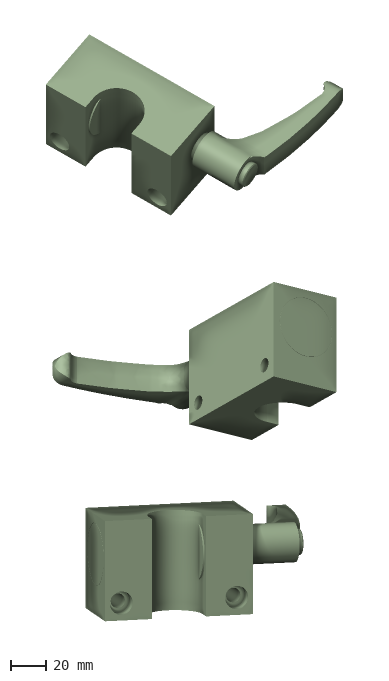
import cadquery as cq
import math

BLOCK_LENGTH = 87.2
BLOCK_DEPTH = 43.0
BLOCK_HEIGHT = 58.0
BORE_RADIUS = 16.0
BORE_Y = 8.1

PAD_DIAMETER = 36.0
PAD_GAP = 0.3
PAD_Y = 20.9
PAD_Z = 35.2
PAD_SPAN = 30.1

HOLE_DIAMETER = 8.4
COUNTERBORE_DIAMETER = 13.5
COUNTERBORE_DEPTH = 7.7
HOLE_SPACING = 68.0
HOLE_Z = 10.1

AXIS_Y = 28.5
AXIS_Z = PAD_Z
NECK_DIAMETER = 17.7
COLLAR_DIAMETER = 18.5
COLLAR_START = BLOCK_LENGTH + 0.7
BARREL_DIAMETER = 23.0
BARREL_RADIUS = BARREL_DIAMETER / 2
BARREL_START = 90.3
BARREL_END = 119.3
END_BOSS_DIAMETER = 15.0
END_BOSS_END = 122.8
END_BOSS_CHAMFER = 0.5

ARM_TIP_X = 133.2
ARM_TIP_Y = 107.3
ARM_WIDTH = 16.5
ARM_HALF = ARM_WIDTH / 2
ROOT_FILLET = 14.6
CROWN_HALF = 10.7
LEDGE_DROP = 0.3


def clamp_block():
    """Rectangular block with an open bore, two flat pads and two screw holes."""
    mid_x = BLOCK_LENGTH / 2
    body = cq.Workplane("XY").box(BLOCK_LENGTH, BLOCK_DEPTH, BLOCK_HEIGHT, centered=False)
    bore = cq.Workplane("XY").center(mid_x, BORE_Y).circle(BORE_RADIUS).extrude(BLOCK_HEIGHT)
    mouth = cq.Workplane("XY").box(2 * BORE_RADIUS, BORE_Y, BLOCK_HEIGHT, centered=False)
    body = body.cut(bore).cut(mouth.translate((mid_x - BORE_RADIUS, 0, 0)))

    pad_length = (BLOCK_LENGTH - PAD_SPAN) / 2
    for start in (0, BLOCK_LENGTH - pad_length):
        pad = cq.Workplane("YZ", origin=(start, PAD_Y, PAD_Z)).circle(PAD_DIAMETER / 2)
        body = body.union(pad.extrude(pad_length))

    groove = (
        cq.Workplane("YZ", origin=(0, PAD_Y, PAD_Z))
        .circle(PAD_DIAMETER / 2)
        .circle(PAD_DIAMETER / 2 - PAD_GAP)
        .extrude(PAD_GAP)
    )
    body = body.cut(groove)

    for side in (-1, 1):
        front = cq.Workplane("XZ", origin=(mid_x + side * HOLE_SPACING / 2, 0, HOLE_Z))
        body = body.cut(front.circle(HOLE_DIAMETER / 2).extrude(-BLOCK_DEPTH))
        body = body.cut(front.circle(COUNTERBORE_DIAMETER / 2).extrude(-COUNTERBORE_DEPTH))
    return body


def lever_cylinder(diameter, start, end):
    """Cylinder on the lever axis between two X positions."""
    plane = cq.Workplane("YZ", origin=(start, AXIS_Y, AXIS_Z))
    return plane.circle(diameter / 2).extrude(end - start)


def arm_outline(z, root, inner_curve):
    """Closed XY outline of the arm at height z; inner_curve runs from root to the hook."""
    return (
        cq.Workplane("XY", origin=(0, 0, AXIS_Z + z))
        .moveTo(BARREL_START, AXIS_Y)
        .lineTo(BARREL_START, root[1] - LEDGE_DROP)
        .lineTo(*root)
        .spline(inner_curve, includeCurrent=True)
        .threePointArc((126.0, 96.1), (124.5, 99.1))
        .spline([(122.5, 102.1), (124.2, 105.2), (129.3, ARM_TIP_Y)], includeCurrent=True)
        .threePointArc((132.1, 106.5), (ARM_TIP_X, 104.7))
        .lineTo(ARM_TIP_X, 99.9)
        .threePointArc((130.9, 67.9), (125.2, 38.4))
        .threePointArc((121.0, 35.4), (BARREL_END, 30.0))
        .lineTo(BARREL_END, AXIS_Y)
        .close()
        .wire()
        .val()
    )


def arm_side_section():
    """Arm cross-section in YZ: round tip, parallel sides, blends onto the barrel."""
    blend_z = ARM_HALF + ROOT_FILLET
    reach = BARREL_RADIUS + ROOT_FILLET
    blend_y = math.sqrt(reach**2 - blend_z**2)
    touch = BARREL_RADIUS / reach
    foot = (blend_y * touch, blend_z * touch)
    blend_angle = math.atan2(blend_y, blend_z) / 2
    mid = (blend_y - ROOT_FILLET * math.sin(blend_angle), blend_z - ROOT_FILLET * math.cos(blend_angle))
    tip_y = ARM_TIP_Y - AXIS_Y
    return (
        cq.Workplane("YZ", origin=(BARREL_START, AXIS_Y, AXIS_Z))
        .moveTo(0, foot[1])
        .lineTo(*foot)
        .threePointArc(mid, (blend_y, ARM_HALF))
        .lineTo(tip_y - ARM_HALF, ARM_HALF)
        .threePointArc((tip_y, 0), (tip_y - ARM_HALF, -ARM_HALF))
        .lineTo(blend_y, -ARM_HALF)
        .threePointArc((mid[0], -mid[1]), (foot[0], -foot[1]))
        .lineTo(0, -foot[1])
        .close()
        .extrude(ARM_TIP_X - BARREL_START)
    )


def lever_arm():
    """Curved arm: a crowned profile trimmed to the side section."""
    upper_curve = [(116.0, 59.7), (120.4, 71.1), (124.4, 85.8), (126.2, 93.7)]
    crest_curve = [(101.9, 41.3), (105.6, 43.4), (109.3, 47.4), (112.0, 51.7)]
    edge_curve = [(102.9, 36.5), (107.2, 40.5), (110.4, 46.6), (112.8, 50.3)]
    edge_root = (98.0, 33.5)
    crest_root = (96.4, AXIS_Y + BARREL_RADIUS)
    outlines = [
        arm_outline(-CROWN_HALF, edge_root, edge_curve + upper_curve),
        arm_outline(0, crest_root, crest_curve + upper_curve),
        arm_outline(CROWN_HALF, edge_root, edge_curve + upper_curve),
    ]
    crowned = cq.Workplane(cq.Solid.makeLoft(outlines))
    return crowned.intersect(arm_side_section())


def clamping_lever():
    """Neck, collar, barrel and end boss on one axis, with the curved arm."""
    end_boss = lever_cylinder(END_BOSS_DIAMETER, BARREL_END, END_BOSS_END)
    end_boss = end_boss.faces(">X").chamfer(END_BOSS_CHAMFER)
    return (
        lever_cylinder(BARREL_DIAMETER, BARREL_START, BARREL_END)
        .union(lever_cylinder(COLLAR_DIAMETER, COLLAR_START, BARREL_START))
        .union(lever_cylinder(NECK_DIAMETER, BLOCK_LENGTH, COLLAR_START))
        .union(end_boss)
        .union(lever_arm())
    )


block = clamp_block().solids()
lever = clamping_lever().solids()
result = cq.Compound.makeCompound([block.val(), lever.val()])